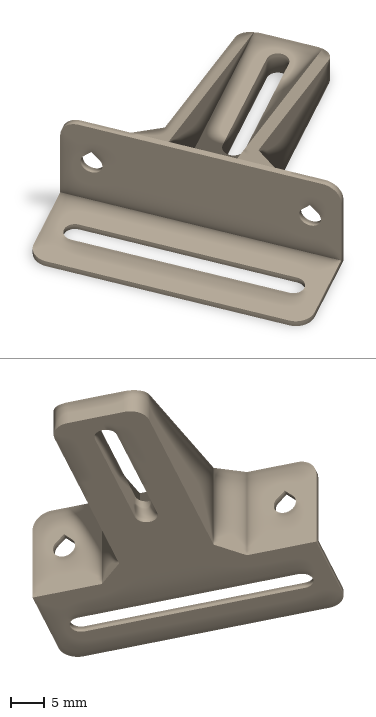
import cadquery as cq
import math

total_width = 45.0
total_depth = 55.0
total_height = 16.0
corner_radius = 3.0

sheet = 1.0
plate_rear_y = 16.0
plate_front_y = plate_rear_y - sheet

arm_width = 15.0
arm_wall = 2.0
arm_end_height = 4.0
floor_thickness = arm_end_height
gusset = 4.0

hole_diameter = 3.5
foot_slot_travel = 35.0
arm_slot_travel = 20.0
arm_slot_end_margin = 5.0
hole_spacing = 35.0
hole_z = sheet + (total_height - sheet) / 2


def make_foot():
    """Flat foot with rounded front corners and a slot along X."""
    foot = cq.Workplane("XY").box(total_width, plate_rear_y, sheet, centered=(True, False, False))
    foot = foot.edges("|Z and <Y").fillet(corner_radius)
    slot = (
        cq.Workplane("XY")
        .center(0, plate_front_y / 2)
        .slot2D(foot_slot_travel + hole_diameter, hole_diameter)
        .extrude(sheet)
    )
    return foot.cut(slot)


def make_teardrop(x):
    """Hole cutter along Y: a circle whose upper 45-degree tangents meet in a point."""
    radius = hole_diameter / 2
    tangent = radius * math.sin(math.radians(45))
    tip = radius / math.sin(math.radians(45))
    return (
        cq.Workplane("XZ", origin=(x, plate_rear_y, hole_z))
        .moveTo(-tangent, tangent)
        .threePointArc((0, -radius), (tangent, tangent))
        .lineTo(0, tip)
        .close()
        .extrude(sheet)
    )


def make_plate():
    """Upright plate with rounded top corners and two teardrop holes."""
    plate = (
        cq.Workplane("XY", origin=(0, plate_front_y, 0))
        .box(total_width, sheet, total_height, centered=(True, False, False))
        .edges("|Y and >Z")
        .fillet(corner_radius)
    )
    for side in (-1, 1):
        plate = plate.cut(make_teardrop(side * hole_spacing / 2))
    return plate


def make_arm():
    """Open-topped channel with sloping walls, gussets at the plate and a slot along Y."""
    half_width = arm_width / 2
    gusset_end_y = plate_rear_y + gusset
    body = (
        cq.Workplane("XY")
        .moveTo(-half_width - gusset, plate_rear_y)
        .lineTo(half_width + gusset, plate_rear_y)
        .lineTo(half_width, gusset_end_y)
        .lineTo(half_width, total_depth)
        .lineTo(-half_width, total_depth)
        .lineTo(-half_width, gusset_end_y)
        .close()
        .extrude(total_height)
        .edges("|Z and >Y")
        .fillet(corner_radius)
    )
    side_profile = (
        cq.Workplane("YZ")
        .moveTo(plate_rear_y, 0)
        .lineTo(total_depth, 0)
        .lineTo(total_depth, arm_end_height)
        .lineTo(plate_rear_y, total_height)
        .close()
        .extrude(half_width + gusset, both=True)
    )
    channel = cq.Workplane("XY", origin=(0, plate_rear_y, floor_thickness)).box(
        arm_width - 2 * arm_wall,
        total_depth - plate_rear_y,
        total_height - floor_thickness,
        centered=(True, False, False),
    )
    slot_center_y = total_depth - arm_slot_end_margin - arm_slot_travel / 2
    slot = (
        cq.Workplane("XY")
        .center(0, slot_center_y)
        .slot2D(arm_slot_travel + hole_diameter, hole_diameter, 90)
        .extrude(floor_thickness)
    )
    return body.intersect(side_profile).cut(channel).cut(slot)


result = make_foot().union(make_plate()).union(make_arm())